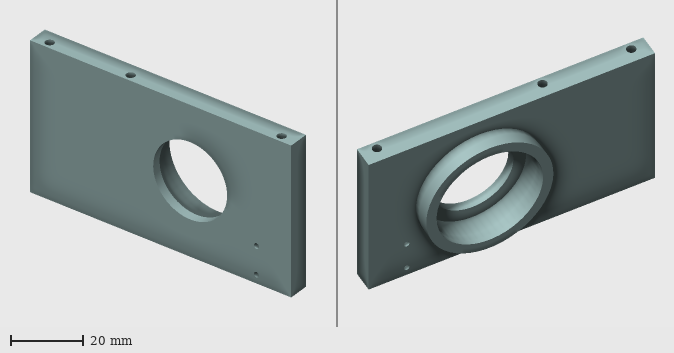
import cadquery as cq

plate_length = 90.0
plate_height = 50.0
plate_thickness = 6.8

total_depth = 12.9
boss_diameter = 40.0
boss_x = 55.2
boss_z = plate_height / 2
bore_diameter = 25.5
pocket_diameter = 33.5
lip_thickness = 3.0

mount_diameter = 2.9
mount_inset = 5.0
mount_xs = (mount_inset, 32.9, plate_length - mount_inset)
mount_y = 2.3

pin_diameter = 1.8
pin_x = 78.0
lower_pin_z = 2.9
pin_spacing = 9.45


def cylinder_along_y(diameter, x, z, start, end):
    """Cylinder parallel to Y, between Y = start and Y = end."""
    base = cq.Vector(x, start, z)
    return cq.Workplane(cq.Solid.makeCylinder(diameter / 2, end - start, base, cq.Vector(0, 1, 0)))


def mounting_hole(x):
    """Vertical hole through the full plate height."""
    return cq.Workplane("XY").center(x, mount_y).circle(mount_diameter / 2).extrude(plate_height)


plate = cq.Workplane("XY").box(plate_length, plate_thickness, plate_height, centered=False)
boss = cylinder_along_y(boss_diameter, boss_x, boss_z, plate_thickness, total_depth)
body = plate.union(boss)

body = body.cut(cylinder_along_y(bore_diameter, boss_x, boss_z, 0, lip_thickness))
body = body.cut(cylinder_along_y(pocket_diameter, boss_x, boss_z, lip_thickness, total_depth))

for x in mount_xs:
    body = body.cut(mounting_hole(x))

for z in (lower_pin_z, lower_pin_z + pin_spacing):
    body = body.cut(cylinder_along_y(pin_diameter, pin_x, z, 0, plate_thickness))

result = body